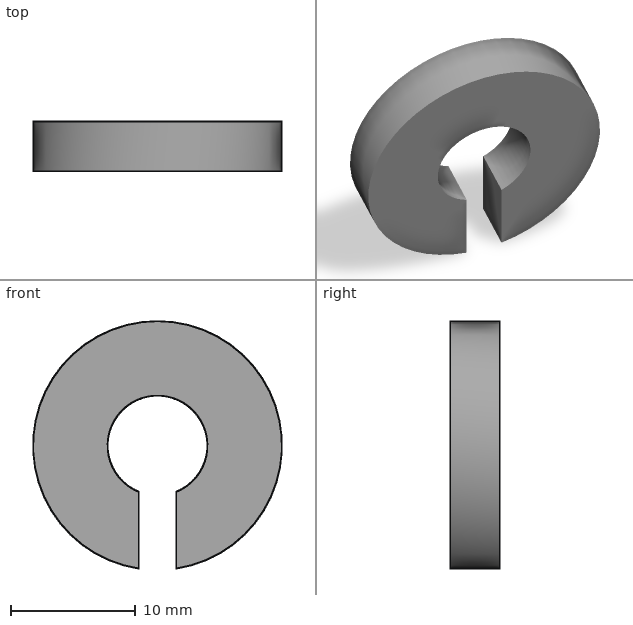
import cadquery as cq

outer_diameter = 19.97
bore_diameter = 7.99
thickness = 4.0
slot_width = 3.0

outer_radius = outer_diameter / 2

ring = (
    cq.Workplane("XZ")
    .circle(outer_radius)
    .circle(bore_diameter / 2)
    .extrude(thickness / 2, both=True)
)

slot = (
    cq.Workplane("XY")
    .box(slot_width, thickness, outer_radius)
    .translate((0, 0, -outer_radius / 2))
)

result = ring.cut(slot)